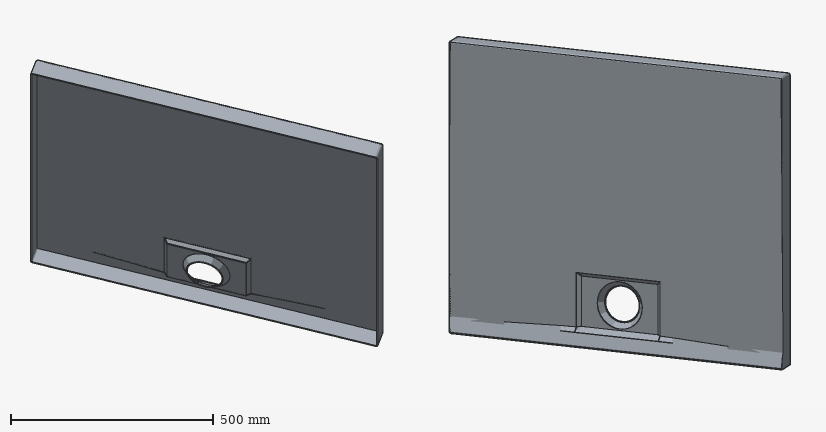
import cadquery as cq


WIDTH = 900.0
DEPTH = 48.0
HEIGHT = 750.0
WALL = 4.0
SHEET = 3.15
CORNER_RADIUS = 7.0
RIM_RADIUS = 5.0
LEDGE = 6.0
HALF = WIDTH / 2

TOP_CREASE_X = 225.0
NODE_X = 232.0
NODE_Z = 390.0
SIDE_CREASE_Z = 398.0
CREST_Z = 489.0
FOOT_X = 301.0
FOOT_Z = 46.0
FLOOR_CORNER_Z = 44.0

DISH_TOP_Z = 225.0
DISH_CORNER_X = 127.0
DISH_CORNER_Z = 197.0
DISH_FOOT_X = 150.0

PAD_X = 112.5
PAD_TOP_Z = 188.0
PAD_SLOPE = 10.0
PAD_END_Z = 49.5
DRAIN_Z = 113.0
COLLAR_RADIUS = 60.0
DRAIN_RADIUS = 45.0

STRIP_TOP_Z = 38.0
STRIP_BEND_X = 363.0
STRIP_CORNER_X = 390.0

RIM_Y = DEPTH
SIDE_CREASE_Y = 47.0
FLOOR_CORNER_Y = 45.0
NODE_Y = 47.0
CREST_Y = 45.0
FOOT_Y = 45.0
DISH_Y = 35.0
PAD_BASE_Y = 32.0
PAD_FACE_Y = 22.5
STRIP_MID_Y = 43.0
STRIP_BEND_Y = 44.0
STRIP_CORNER_Y = 46.0
COLLAR_TIP_Y = 4.5

MARGIN = 18.0


def line(start, end):
    return cq.Edge.makeLine(cq.Vector(*start), cq.Vector(*end))


def curve(*points):
    return cq.Edge.makeSpline([cq.Vector(*p) for p in points])


def arc(*points):
    return cq.Edge.makeThreePointArc(*[cq.Vector(*p) for p in points])


def at_x(x, start, end):
    """Point at the given X on the straight line from start to end."""
    along = (x - start[0]) / (end[0] - start[0])
    return tuple(first + along * (last - first) for first, last in zip(start, end))


FACE_FOOT = (PAD_X - PAD_SLOPE, PAD_FACE_Y, PAD_END_Z)
PAD_FOOT = (PAD_X, PAD_BASE_Y, PAD_END_Z)
DISH_FOOT = (DISH_FOOT_X, DISH_Y, PAD_END_Z)
FLOOR_FOOT = (FOOT_X, FOOT_Y, FOOT_Z)
FLOOR_CORNER = (HALF, FLOOR_CORNER_Y, FLOOR_CORNER_Z)


def floor_patches():
    """Ruled faces of the tread surface for the +X half, drain pad included."""
    top_z = HEIGHT - LEDGE
    top_mid = (0, RIM_Y, top_z)
    top_crease = (TOP_CREASE_X, RIM_Y, top_z)
    top_corner = (HALF, RIM_Y, top_z)
    side_crease = (HALF, SIDE_CREASE_Y, SIDE_CREASE_Z)
    node = (NODE_X, NODE_Y, NODE_Z)
    dish_corner = (DISH_CORNER_X, DISH_Y, DISH_CORNER_Z)

    crest = arc((0, CREST_Y, CREST_Z), (121.0, 46.0, 459.0), node)
    shoulder = arc(node, (278.0, 46.0, 228.0), FLOOR_FOOT)
    dish_top = curve((0, DISH_Y, DISH_TOP_Z), (60.0, DISH_Y, DISH_TOP_Z), (101.0, DISH_Y, 217.0), dish_corner)
    dish_side = curve(dish_corner, (139.5, DISH_Y, 177.0), (147.0, DISH_Y, 117.0), DISH_FOOT)

    pad_corner = (PAD_X, PAD_BASE_Y, PAD_TOP_Z)
    pad_top = line((0, PAD_BASE_Y, PAD_TOP_Z), pad_corner)
    pad_side = line(pad_corner, PAD_FOOT)
    face_top_z = PAD_TOP_Z - PAD_SLOPE
    face_corner = (PAD_X - PAD_SLOPE, PAD_FACE_Y, face_top_z)
    face_top = line((0, PAD_FACE_Y, face_top_z), face_corner)
    face_side = line(face_corner, FACE_FOOT)
    face_end = line((0, PAD_FACE_Y, PAD_END_Z), FACE_FOOT)

    edge_pairs = [
        (line(top_mid, top_crease), crest),
        (line(top_crease, top_corner), line(node, side_crease)),
        (shoulder, line(side_crease, FLOOR_CORNER)),
        (shoulder, dish_side),
        (crest, dish_top),
        (dish_top, pad_top),
        (dish_side, pad_side),
        (pad_top, face_top),
        (pad_side, face_side),
        (face_top, face_end),
    ]
    return [cq.Face.makeRuledSurface(first, second) for first, second in edge_pairs]


def ruled_between(upper, lower):
    """Ruled faces joining two matching rows of points, one face for each stretch."""
    patches = []
    for i in range(len(upper) - 1):
        upper_edge = line(upper[i], upper[i + 1])
        lower_edge = line(lower[i], lower[i + 1])
        patches.append(cq.Face.makeRuledSurface(upper_edge, lower_edge))
    return patches


def strip_patches():
    """Step off the floor and the strip running to the lower ledge, +X half."""
    strip_line = [
        (0, STRIP_MID_Y, STRIP_TOP_Z),
        (STRIP_BEND_X, STRIP_BEND_Y, STRIP_TOP_Z),
        (STRIP_CORNER_X, STRIP_CORNER_Y, STRIP_TOP_Z),
        (HALF, STRIP_CORNER_Y, STRIP_TOP_Z),
    ]
    floor_line = [
        (0, PAD_FACE_Y, PAD_END_Z),
        FACE_FOOT,
        PAD_FOOT,
        DISH_FOOT,
        FLOOR_FOOT,
        at_x(STRIP_BEND_X, FLOOR_FOOT, FLOOR_CORNER),
        at_x(STRIP_CORNER_X, FLOOR_FOOT, FLOOR_CORNER),
        FLOOR_CORNER,
    ]
    inner_points = [point for point in floor_line if point[0] <= FOOT_X]
    long_run = [at_x(point[0], strip_line[0], strip_line[1]) for point in inner_points]
    step_foot = long_run + strip_line[1:]
    ledge_line = [(x, RIM_Y, LEDGE) for x, _, _ in strip_line]
    return ruled_between(floor_line, step_foot) + ruled_between(strip_line, ledge_line)


def ledge_patches():
    """Flat ledges along the upper and lower rims, +X half."""
    patches = []
    for low, high in ((0, LEDGE), (HEIGHT - LEDGE, HEIGHT)):
        low_line = [(0, RIM_Y, low), (HALF, RIM_Y, low)]
        high_line = [(0, RIM_Y, high), (HALF, RIM_Y, high)]
        patches += ruled_between(high_line, low_line)
    return patches


def swept_space(patches, sweep):
    """Space swept by the patches along Y, for both halves of the tray."""
    columns = [cq.Solid.extrudeLinear(patch, cq.Vector(0, sweep, 0)) for patch in patches]
    half = cq.Workplane(columns[0].fuse(*columns[1:]))
    return half.union(half.mirror("YZ"))


def tray_sheet():
    """Rounded block, dished on the tread and hollowed from the underside."""
    block = (
        cq.Workplane("XY")
        .box(WIDTH, DEPTH, HEIGHT, centered=(True, False, False))
        .edges("|Y").fillet(CORNER_RADIUS)
        .faces(">Y").edges().fillet(RIM_RADIUS)
    )
    inside = (
        cq.Workplane("XY")
        .box(WIDTH - 2 * WALL, DEPTH + 2 * MARGIN, HEIGHT - 2 * WALL, centered=(True, False, False))
        .translate((0, -MARGIN, WALL))
        .edges("|Y").fillet(CORNER_RADIUS - WALL)
    )
    patches = floor_patches() + strip_patches() + ledge_patches()
    above = swept_space(patches, DEPTH)
    underside = [patch.translate(cq.Vector(0, -SHEET, 0)) for patch in patches]
    below = swept_space(underside, -DEPTH - MARGIN).intersect(inside)
    return block.cut(above).cut(below)


def frustum(base_radius, tip_radius):
    """Cone on the drain axis from the pad's tread face to the collar tip."""
    return cq.Workplane(
        cq.Solid.makeCone(
            base_radius,
            tip_radius,
            PAD_FACE_Y - COLLAR_TIP_Y,
            pnt=cq.Vector(0, PAD_FACE_Y, DRAIN_Z),
            dir=cq.Vector(0, -1, 0),
        )
    )


def add_collar(tray):
    """Flared drain collar, open through its tip."""
    collar = frustum(COLLAR_RADIUS + SHEET, DRAIN_RADIUS + SHEET)
    return tray.union(collar).cut(frustum(COLLAR_RADIUS, DRAIN_RADIUS))


result = add_collar(tray_sheet())